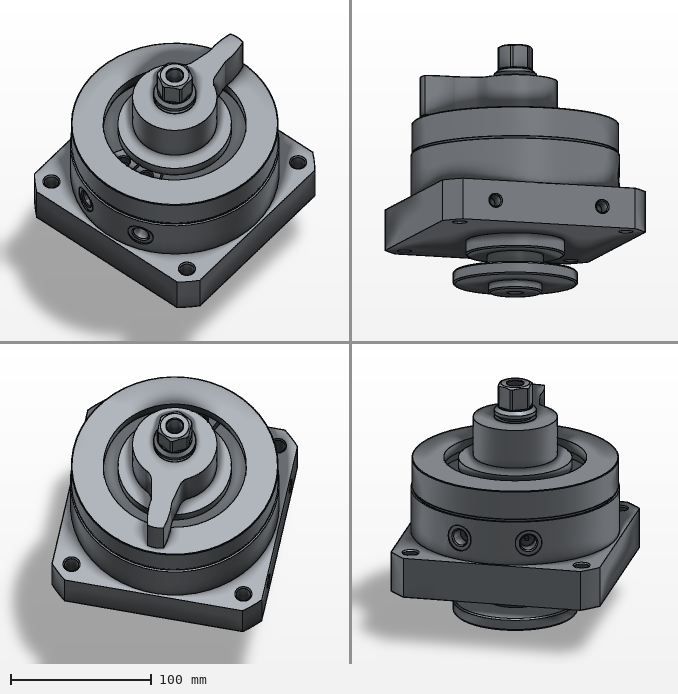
import cadquery as cq
import math

SHAFT_BOTTOM_Z = -37.0
FLANGE_BOTTOM_Z = -31.0
FLANGE_TOP_Z = -22.0
BOSS_BOTTOM_Z = -10.1
PLATE_TOP_Z = 29.3
DRUM_TOP_Z = 61.5
RING_BOTTOM_Z = 63.3
RING_TOP_Z = 84.5
LEVER_BOTTOM_Z = 86.5
LEVER_TOP_Z = 115.0
RIM_TOP_Z = 115.3
COLLAR_BOTTOM_Z = 118.0
COLLAR_EDGE_Z = 120.5
COLLAR_CONE_TOP_Z = 123.0
COLLAR_TOP_Z = 123.8
HEX_TOP_Z = SHAFT_BOTTOM_Z + 177.4

PLATE_SIDE = 152.0
PLATE_CORNER_DIAMETER = 199.4
MOUNT_HOLE_DIAMETER = 10.1
MOUNT_HOLE_MOUTH = 12.0
MOUNT_HOLE_SPACING = 124.5
SIDE_HOLE_DIAMETER = 8.3
SIDE_HOLE_MOUTH = 10.1
SIDE_HOLE_SPACING = 79.8
SIDE_HOLE_DEPTH = 14.2
DRILL_POINT_ANGLE = 118.0

BOSS_DIAMETER = 70.0
BOSS_CHAMFER = 1.0
DRUM_DIAMETER = 148.5
GROOVE_DIAMETER = 145.5
RING_DIAMETER = 147.0
RING_CHAMFER = 0.5

MOUTH_OUTER_DIAMETER = 101.7
MOUTH_INNER_DIAMETER = 80.7
SLOT_OUTER_DIAMETER = 108.2
SLOT_INNER_DIAMETER = 69.0
LIP_THICKNESS = 7.5
SLOT_DEPTH = 14.2
LIP_BOTTOM_Z = RING_TOP_Z - LIP_THICKNESS
SLOT_FLOOR_Z = RING_TOP_Z - SLOT_DEPTH

PORT_ANGLE = 20.0
PORT_FACE_RADIUS = 73.1
PORT_FACE_DIAMETER = 19.0
PORT_DIAMETER = 11.5
PORT_MOUTH = 13.3
PORT_BOTTOM_RADIUS = 63.3
PORT_DUCT_DIAMETER = 3.5
PORT_DUCT_DEPTH = 3.5

SHAFT_END_DIAMETER = 38.0
SHAFT_DIAMETER = 40.0
SHAFT_END_CHAMFER = 1.0
FLANGE_DIAMETER = 88.3
FLANGE_CHAMFER = 1.0
UPPER_SHAFT_DIAMETER = 35.0
COLLAR_DIAMETER = 30.0
NECK_DIAMETER = 24.0
COLLAR_TOP_DIAMETER = 24.7
HEX_ACROSS_FLATS = 22.5
HEX_ROUND_DIAMETER = 25.0
HEX_TOP_DIAMETER = 20.4
HEX_CHAMFER_HEIGHT = 1.2
BORE_DIAMETER = 11.5
BORE_MOUTH = 12.8

LEVER_HUB_RADIUS = 30.0
LEVER_TIP_Y = 70.3
LEVER_TIP_CORNER = (5.9, 69.4)
LEVER_SIDE_BULGE = (7.6, 58.5)
LEVER_WAIST = (7.5, 47.5)
LEVER_ROOT = (10.3, 32.8)
LEVER_ROOT_MIDDLE = (11.7, 29.1)
LEVER_HUB_JOIN_X = 16.0

NUT_GAP = 1.8
NUT_END_ANGLE = 25.0
NUT_THREAD_X = 10.5
NUT_THREAD_Y = -44.7
NUT_THREAD_DIAMETER = 8.3
NUT_THREAD_MOUTH = 10.1


def disc(diameter, bottom_z, top_z):
    return cq.Workplane("XY").workplane(offset=bottom_z).circle(diameter / 2).extrude(top_z - bottom_z)


def cone(bottom_diameter, top_diameter, bottom_z, top_z):
    solid = cq.Solid.makeCone(bottom_diameter / 2, top_diameter / 2, top_z - bottom_z)
    return cq.Workplane(solid).translate((0, 0, bottom_z))


def countersink(diameter, mouth):
    """45-degree cutter opening upward, its mouth at Z = 0."""
    return cone(diameter, mouth, (diameter - mouth) / 2, 0)


def mount_holes():
    mouth = countersink(MOUNT_HOLE_DIAMETER, MOUNT_HOLE_MOUTH).translate((0, 0, PLATE_TOP_Z))
    cutter = disc(MOUNT_HOLE_DIAMETER, 0, PLATE_TOP_Z).union(mouth)
    offset = MOUNT_HOLE_SPACING / 2
    holes = cq.Workplane("XY")
    for x in (-offset, offset):
        for y in (-offset, offset):
            holes = holes.add(cutter.translate((x, y, 0)))
    return holes.combine()


def side_holes():
    point_height = SIDE_HOLE_DIAMETER / 2 / math.tan(math.radians(DRILL_POINT_ANGLE / 2))
    cutter = (
        disc(SIDE_HOLE_DIAMETER, -SIDE_HOLE_DEPTH, 0)
        .union(cone(0.0, SIDE_HOLE_DIAMETER, -SIDE_HOLE_DEPTH - point_height, -SIDE_HOLE_DEPTH))
        .union(countersink(SIDE_HOLE_DIAMETER, SIDE_HOLE_MOUTH))
        .rotate((0, 0, 0), (0, 1, 0), -90)
    )
    holes = cq.Workplane("XY")
    for y in (-SIDE_HOLE_SPACING / 2, SIDE_HOLE_SPACING / 2):
        holes = holes.add(cutter.translate((-PLATE_SIDE / 2, y, PLATE_TOP_Z / 2)))
    return holes.combine()


def ports():
    depth = PORT_FACE_RADIUS - PORT_BOTTOM_RADIUS
    cutter = (
        disc(PORT_FACE_DIAMETER, 0, DRUM_DIAMETER / 2 - PORT_FACE_RADIUS)
        .union(disc(PORT_DIAMETER, -depth, 0))
        .union(countersink(PORT_DIAMETER, PORT_MOUTH))
        .union(disc(PORT_DUCT_DIAMETER, -depth - PORT_DUCT_DEPTH, -depth))
        .rotate((0, 0, 0), (1, 0, 0), 90)
        .translate((0, -PORT_FACE_RADIUS, (PLATE_TOP_Z + DRUM_TOP_Z) / 2))
    )
    holes = cq.Workplane("XY")
    for angle in (-PORT_ANGLE, PORT_ANGLE):
        holes = holes.add(cutter.rotate((0, 0, 0), (0, 0, 1), angle))
    return holes.combine()


def t_slot():
    slot = disc(SLOT_OUTER_DIAMETER, SLOT_FLOOR_Z, LIP_BOTTOM_Z).cut(
        disc(SLOT_INNER_DIAMETER, SLOT_FLOOR_Z, LIP_BOTTOM_Z)
    )
    mouth = disc(MOUTH_OUTER_DIAMETER, LIP_BOTTOM_Z, RING_TOP_Z).cut(
        disc(MOUTH_INNER_DIAMETER, LIP_BOTTOM_Z, RING_TOP_Z)
    )
    return slot.union(mouth)


def base_plate():
    """Square plate whose corners are turned off by a circle."""
    return (
        cq.Workplane("XY")
        .rect(PLATE_SIDE, PLATE_SIDE)
        .extrude(PLATE_TOP_Z)
        .intersect(disc(PLATE_CORNER_DIAMETER, 0, PLATE_TOP_Z))
    )


def hexagon():
    """Hexagonal shaft end with flats facing -X and +X, rounded corners and a chamfered top."""
    chamfer_z = HEX_TOP_Z - HEX_CHAMFER_HEIGHT
    envelope = disc(HEX_ROUND_DIAMETER, COLLAR_TOP_Z, chamfer_z).union(
        cone(HEX_ROUND_DIAMETER, HEX_TOP_DIAMETER, chamfer_z, HEX_TOP_Z)
    )
    return (
        cq.Workplane("XY")
        .workplane(offset=COLLAR_TOP_Z)
        .polygon(6, HEX_ACROSS_FLATS, circumscribed=True)
        .extrude(HEX_TOP_Z - COLLAR_TOP_Z)
        .intersect(envelope)
    )


def housed_shaft():
    """Stretch of the shaft inside the housing, which is also the bore of the housing."""
    return disc(SHAFT_DIAMETER, BOSS_BOTTOM_Z, SLOT_FLOOR_Z).union(
        disc(UPPER_SHAFT_DIAMETER, SLOT_FLOOR_Z, RING_TOP_Z)
    )


def lower_shaft():
    end = disc(SHAFT_END_DIAMETER, SHAFT_BOTTOM_Z, FLANGE_BOTTOM_Z).faces("<Z").chamfer(SHAFT_END_CHAMFER)
    flange = disc(FLANGE_DIAMETER, FLANGE_BOTTOM_Z, FLANGE_TOP_Z).faces("<Z or >Z").chamfer(FLANGE_CHAMFER)
    return end.union(flange).union(disc(SHAFT_DIAMETER, FLANGE_TOP_Z, BOSS_BOTTOM_Z))


def upper_shaft():
    return (
        disc(UPPER_SHAFT_DIAMETER, RING_TOP_Z, LEVER_BOTTOM_Z)
        .union(disc(COLLAR_DIAMETER, LEVER_TOP_Z, RIM_TOP_Z))
        .union(disc(NECK_DIAMETER, RIM_TOP_Z, COLLAR_BOTTOM_Z))
        .union(disc(COLLAR_DIAMETER, COLLAR_BOTTOM_Z, COLLAR_EDGE_Z))
        .union(cone(COLLAR_DIAMETER, COLLAR_TOP_DIAMETER, COLLAR_EDGE_Z, COLLAR_CONE_TOP_Z))
        .union(disc(COLLAR_TOP_DIAMETER, COLLAR_CONE_TOP_Z, COLLAR_TOP_Z))
        .union(hexagon())
    )


def shaft_bore():
    mouth = countersink(BORE_DIAMETER, BORE_MOUTH).translate((0, 0, HEX_TOP_Z))
    return disc(BORE_DIAMETER, SHAFT_BOTTOM_Z, HEX_TOP_Z).union(mouth)


def make_housing():
    boss = disc(BOSS_DIAMETER, BOSS_BOTTOM_Z, 0).faces("<Z").chamfer(BOSS_CHAMFER)
    ring = disc(RING_DIAMETER, RING_BOTTOM_Z, RING_TOP_Z).faces(">Z").chamfer(RING_CHAMFER)
    return (
        base_plate()
        .union(boss)
        .union(disc(DRUM_DIAMETER, PLATE_TOP_Z, DRUM_TOP_Z))
        .union(disc(GROOVE_DIAMETER, DRUM_TOP_Z, RING_BOTTOM_Z))
        .union(ring)
        .cut(t_slot())
        .cut(mount_holes())
        .cut(side_holes())
        .cut(ports())
        .cut(housed_shaft())
    )


def lever():
    """Round hub with one arm along +Y that is narrowed at its waist."""
    join_y = math.sqrt(LEVER_HUB_RADIUS**2 - LEVER_HUB_JOIN_X**2)

    def mirrored(point):
        return (-point[0], point[1])

    return (
        cq.Workplane("XY")
        .workplane(offset=LEVER_BOTTOM_Z)
        .moveTo(LEVER_HUB_JOIN_X, join_y)
        .threePointArc(LEVER_ROOT_MIDDLE, LEVER_ROOT)
        .lineTo(*LEVER_WAIST)
        .threePointArc(LEVER_SIDE_BULGE, LEVER_TIP_CORNER)
        .threePointArc((0, LEVER_TIP_Y), mirrored(LEVER_TIP_CORNER))
        .threePointArc(mirrored(LEVER_SIDE_BULGE), mirrored(LEVER_WAIST))
        .lineTo(*mirrored(LEVER_ROOT))
        .threePointArc(mirrored(LEVER_ROOT_MIDDLE), (-LEVER_HUB_JOIN_X, join_y))
        .threePointArc((0, -LEVER_HUB_RADIUS), (LEVER_HUB_JOIN_X, join_y))
        .close()
        .extrude(LEVER_TOP_Z - LEVER_BOTTOM_Z)
    )


def make_rotor():
    return (
        lower_shaft()
        .union(housed_shaft())
        .union(upper_shaft())
        .union(lever())
        .cut(shaft_bore())
    )


def make_stop_nut(side):
    """Ring sector filling the T-slot below its lips; side is +1 for the nut at +X, -1 for -X."""
    half_gap = side * NUT_GAP / 2
    end_angle = math.radians(NUT_END_ANGLE)
    reach = SLOT_OUTER_DIAMETER
    wedge = (
        cq.Workplane("XY")
        .workplane(offset=SLOT_FLOOR_Z)
        .moveTo(half_gap, 0)
        .lineTo(side * reach * math.sin(end_angle), -reach * math.cos(end_angle))
        .lineTo(half_gap, -reach)
        .close()
        .extrude(LIP_BOTTOM_Z - SLOT_FLOOR_Z)
    )
    hole = disc(NUT_THREAD_DIAMETER, SLOT_FLOOR_Z, LIP_BOTTOM_Z).union(
        countersink(NUT_THREAD_DIAMETER, NUT_THREAD_MOUTH).translate((0, 0, LIP_BOTTOM_Z))
    )
    return (
        wedge.intersect(disc(SLOT_OUTER_DIAMETER, SLOT_FLOOR_Z, LIP_BOTTOM_Z))
        .cut(disc(SLOT_INNER_DIAMETER, SLOT_FLOOR_Z, LIP_BOTTOM_Z))
        .cut(hole.translate((side * NUT_THREAD_X, NUT_THREAD_Y, 0)))
    )


housing = make_housing()
rotor = make_rotor()
stop_nuts = [make_stop_nut(side) for side in (-1, 1)]
result = cq.Compound.makeCompound([housing.val(), rotor.val(), *[nut.val() for nut in stop_nuts]])